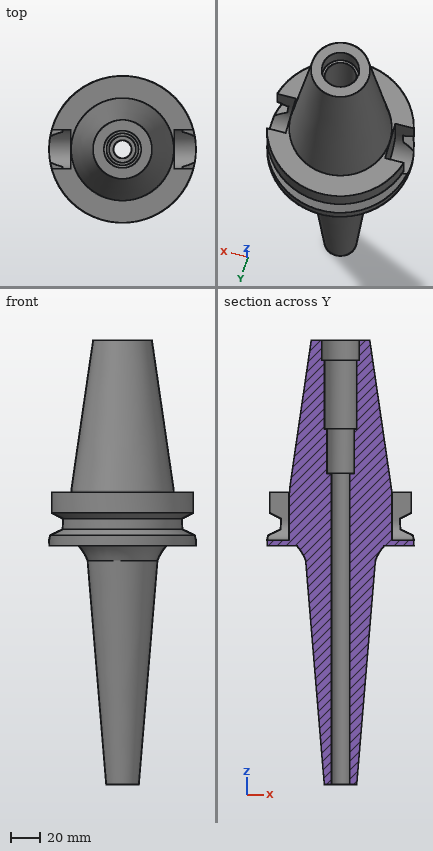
import cadquery as cq

total_height = 301.8
gage_height = 200.0
gap_above_flange = 1.5
flange_radius = 100.0 / 2
flange_bottom = 162.0

gage_radius = 69.7 / 2
taper_ratio = 7 / 24
taper_top_radius = gage_radius - taper_ratio * (total_height - gage_height) / 2

flange_top = gage_height - gap_above_flange
upper_rim_height = 14.2
groove_slope_height = 4.0
lower_rim_height = 7.2
groove_radius = 42.5
upper_rim_bottom = flange_top - upper_rim_height
lower_rim_top = flange_bottom + lower_rim_height

tip_radius = 11.2
neck_radius = 23.8
neck_height = 152.0
flare_radius = 30.0
flare_arc_radius = 30.2

slot_width = 26.3
slot_depth = 32.5
slot_floor_offset = 35.0

through_radius = 6.0
bore_steps = [(12.7, 13.5), (11.0, 60.5), (9.0, 90.5)]


def make_body():
    """Revolve the outer profile around Z."""
    profile = (
        cq.Workplane("XZ")
        .lineTo(tip_radius, 0)
        .lineTo(neck_radius, neck_height)
        .radiusArc((flare_radius, flange_bottom), flare_arc_radius)
        .lineTo(flange_radius, flange_bottom)
        .lineTo(flange_radius, lower_rim_top)
        .lineTo(groove_radius, lower_rim_top + groove_slope_height)
        .lineTo(groove_radius, upper_rim_bottom - groove_slope_height)
        .lineTo(flange_radius, upper_rim_bottom)
        .lineTo(flange_radius, flange_top)
        .lineTo(gage_radius, flange_top)
        .lineTo(gage_radius, gage_height)
        .lineTo(taper_top_radius, total_height)
        .lineTo(0, total_height)
        .close()
    )
    return profile.revolve(360, (0, 0), (0, 1))


def make_drive_slot(side):
    """Round-bottomed slot cutter on the +X (side = 1) or -X (side = -1) rim."""
    half_width = slot_width / 2
    slot_bottom = flange_top - slot_depth
    arc_center = slot_bottom + half_width
    return (
        cq.Workplane("YZ", origin=(side * slot_floor_offset, 0, 0))
        .moveTo(-half_width, flange_top)
        .lineTo(-half_width, arc_center)
        .threePointArc((0, slot_bottom), (half_width, arc_center))
        .lineTo(half_width, flange_top)
        .close()
        .extrude(side * flange_radius)
    )


def make_bore():
    """Through hole with larger steps sunk from the top face."""
    bore = cq.Workplane("XY").circle(through_radius).extrude(total_height)
    for radius, depth in bore_steps:
        step = cq.Workplane("XY", origin=(0, 0, total_height - depth)).circle(radius).extrude(depth)
        bore = bore.union(step)
    return bore


result = make_body()
for side in (-1, 1):
    result = result.cut(make_drive_slot(side))
result = result.cut(make_bore())